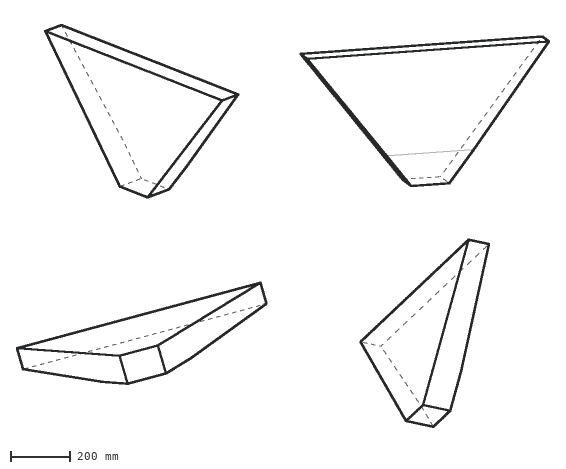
import cadquery as cq

top_width = 851.52
bottom_width = 133.9
height = 460.38
full_thickness = 101.6
top_thickness = 76.2

taper_start = 111.125


def plate_blank():
    """Symmetric trapezoid, front face on Y = 0, extruded toward +Y."""
    outline = [
        (-bottom_width / 2, 0),
        (bottom_width / 2, 0),
        (top_width / 2, height),
        (-top_width / 2, height),
    ]
    return cq.Workplane("XZ").polyline(outline).close().extrude(-full_thickness)


def tapered_profile():
    """Side profile, thinning toward the top edge, swept across the full width."""
    profile = [
        (0, 0),
        (full_thickness, 0),
        (full_thickness, taper_start),
        (top_thickness, height),
        (0, height),
    ]
    return cq.Workplane("YZ").polyline(profile).close().extrude(top_width / 2, both=True)


result = plate_blank().intersect(tapered_profile())